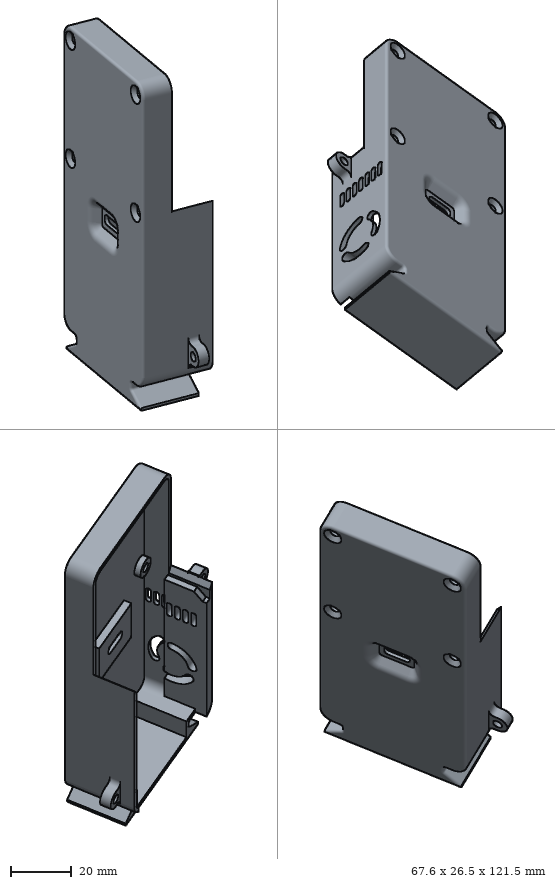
import cadquery as cq
import math

body_width = 54.0
height = 121.5
full_depth = 26.5
upper_depth = 11.1
step_z = 72.6
wall = 1.6
front_thickness = 2.0
corner_radius = 5.0
front_edge_radius = 1.0
half_width = body_width / 2

body_bottom_z = 8.0
foot_depth = 22.2
neck_half_width = 18.6
foot_half_width = 25.2
foot_edge_height = 1.1
foot_slope = math.radians(31)
neck_radius = 1.0
neck_slope_top_z = foot_edge_height + (foot_half_width - neck_half_width) * math.tan(foot_slope)

gap_left_x = -23.1
gap_right_x = 23.8

bevel_width = 2.3
bevel_height = 3.5

pad_start_y = 10.7
pad_top_z = step_z - bevel_height
shoulder_start_y = 21.8
shoulder_end_y = 25.0
shoulder_z = pad_top_z - (shoulder_end_y - shoulder_start_y)

ear_radius = 3.6
ear_hole_diameter = 3.3
ear_overhang = 3.2
ear_start_y = 17.3
ear_thickness = 4.0
ear_fillet = 2.0
left_ear_z = 68.2
right_ear_z = 18.1

screw_hole_diameter = 3.3
countersink_diameter = 6.5
screw_boss_diameter = 7.3
screw_boss_depth = 4.3
screw_x = half_width - corner_radius
screw_rows_z = (height - corner_radius, 72.6)

recess_z = 57.4
recess_floor_width = 12.9
recess_floor_height = 7.5
recess_floor_radius = 1.1
recess_depth = 3.3
recess_taper = 43.0
recess_mouth_radius = 2.9
recess_back_wall = 1.5
connector_width = 9.5
connector_height = 3.5
connector_radius = 1.5

vent_count = 7
vent_pitch = 3.0
vent_width = 2.0
vent_length = 6.5
vent_center_y = 12.5
vent_center_z = 54.7
wall_slot_depth = half_width + gap_left_x
fan_y = 13.1
fan_z = 28.5
fan_slot_radius = 8.1
fan_slot_width = 3.3
fan_slot_count = 3
fan_slot_sweep = 76.0
fan_slot_first_angle = 49.5


def box(x0, x1, y0, y1, z0, z1):
    return cq.Workplane("XY").box(x1 - x0, y1 - y0, z1 - z0, centered=False).translate((x0, y0, z0))


def extrude_back(sketch_start_y):
    """XZ workplane whose positive extrusion runs toward +Y; local axes are (X, -Z)."""
    return cq.Workplane(cq.Plane((0, sketch_start_y, 0), (1, 0, 0), (0, 1, 0)))


def make_outer():
    half = [
        (foot_half_width, 0),
        (foot_half_width, foot_edge_height),
        (neck_half_width, neck_slope_top_z),
        (neck_half_width, body_bottom_z),
        (half_width, body_bottom_z),
        (half_width, height),
    ]
    points = half + [(-x, z) for x, z in reversed(half)]
    solid = extrude_back(0).polyline([(x, -z) for x, z in points]).close().extrude(full_depth)
    body_box = cq.selectors.BoxSelector
    reach = half_width + 1.2
    for z0, z1, x_min, radius in (
        (neck_slope_top_z - 0.1, body_bottom_z + 0.1, 0, neck_radius),
        (body_bottom_z - 0.1, height + 1.2, half_width - 0.1, corner_radius),
    ):
        for side in (-1, 1):
            x_max = neck_half_width + 0.1 if x_min == 0 else reach
            corner = body_box((side * x_min, -1.2, z0), (side * x_max, full_depth + 1.2, z1))
            solid = solid.edges("|Y").edges(corner).fillet(radius)
    above_foot_edge = cq.selectors.BoxSelector((-reach, -1.2, foot_edge_height), (reach, 1.2, height + 1.2))
    solid = solid.faces("<Y").edges(above_foot_edge).fillet(front_edge_radius)
    bottom_waste = (
        cq.Workplane("YZ", origin=(-half_width, 0, 0))
        .lineTo(front_edge_radius, 0)
        .radiusArc((0, front_edge_radius), front_edge_radius)
        .close()
        .extrude(body_width)
    )
    return solid.cut(bottom_waste)


def make_cavity():
    main = box(
        -half_width + wall, half_width - wall, front_thickness, full_depth,
        body_bottom_z + wall, height - wall,
    ).edges("|Y").fillet(corner_radius - wall)
    neck_inner = neck_half_width - wall
    neck = box(-neck_inner, neck_inner, front_thickness, full_depth, wall, body_bottom_z + 2 * wall)
    return main.union(neck)


def make_wall_pad():
    profile = [
        (pad_start_y, body_bottom_z + wall / 2),
        (pad_start_y, pad_top_z),
        (shoulder_start_y, pad_top_z),
        (shoulder_end_y, shoulder_z),
        (full_depth, shoulder_z),
        (full_depth, body_bottom_z + wall / 2),
    ]
    start_x = -half_width + wall / 2
    return cq.Workplane("YZ", origin=(start_x, 0, 0)).polyline(profile).close().extrude(gap_left_x - start_x)


def make_bevel(side):
    inner_x = side * (half_width - bevel_width)
    return (
        extrude_back(upper_depth)
        .moveTo(side * half_width, -step_z)
        .lineTo(inner_x, bevel_height - step_z)
        .lineTo(inner_x, -step_z)
        .close()
        .extrude(full_depth - upper_depth)
    )


def make_ear(side, z):
    tip_x = half_width + ear_overhang
    ear = box(half_width, tip_x, ear_start_y, ear_start_y + ear_thickness, -ear_radius, ear_radius)
    ear = ear.union(extrude_back(ear_start_y).center(tip_x, 0).circle(ear_radius).extrude(ear_thickness))
    for edge in (-1, 1):
        web = (
            extrude_back(ear_start_y)
            .moveTo(half_width + ear_fillet, edge * ear_radius)
            .radiusArc((half_width, edge * (ear_radius + ear_fillet)), edge * ear_fillet)
            .lineTo(half_width, edge * ear_radius)
            .close()
            .extrude(ear_thickness)
        )
        ear = ear.union(web)
    ear = ear.cut(
        extrude_back(ear_start_y).center(tip_x, 0).circle(ear_hole_diameter / 2).extrude(ear_thickness)
    )
    if side < 0:
        ear = ear.mirror("YZ")
    return ear.translate((0, 0, z))


def make_recess():
    """Solid with tapered sides, widening from its floor toward the front."""
    return (
        cq.Workplane("XZ", origin=(0, recess_depth, recess_z))
        .sketch()
        .rect(recess_floor_width, recess_floor_height)
        .vertices()
        .fillet(recess_floor_radius)
        .finalize()
        .extrude(recess_depth, taper=-recess_taper)
    )


def make_screw_hole(x, z):
    hole_radius = screw_hole_diameter / 2
    sink_radius = countersink_diameter / 2
    hole = extrude_back(0).center(x, -z).circle(hole_radius).extrude(screw_boss_depth)
    sink = cq.Solid.makeCone(
        sink_radius, hole_radius, sink_radius - hole_radius, cq.Vector(x, 0, z), cq.Vector(0, 1, 0)
    )
    return hole.union(sink)


def make_fan_slot(mid_angle):
    def at(radius, angle):
        turn = math.radians(angle)
        return (fan_y + radius * math.cos(turn), fan_z + radius * math.sin(turn))

    start = mid_angle - fan_slot_sweep / 2
    end = mid_angle + fan_slot_sweep / 2
    inner = fan_slot_radius - fan_slot_width / 2
    outer = fan_slot_radius + fan_slot_width / 2
    cap = math.degrees(fan_slot_width / 2 / fan_slot_radius)
    return (
        cq.Workplane("YZ", origin=(-half_width, 0, 0))
        .moveTo(*at(outer, start))
        .threePointArc(at(outer, mid_angle), at(outer, end))
        .threePointArc(at(fan_slot_radius, end + cap), at(inner, end))
        .threePointArc(at(inner, mid_angle), at(inner, start))
        .threePointArc(at(fan_slot_radius, start - cap), at(outer, start))
        .close()
        .extrude(wall_slot_depth)
    )


outer = make_outer()
result = outer.cut(make_cavity()).union(make_wall_pad().intersect(outer))
result = result.cut(box(-half_width, half_width, upper_depth, full_depth, step_z, height))
result = result.cut(box(-half_width, half_width, foot_depth, full_depth, 0, body_bottom_z - corner_radius / 2))
result = result.cut(box(gap_left_x, gap_right_x, foot_depth, full_depth, 0, body_bottom_z + corner_radius))

for side in (-1, 1):
    result = result.cut(make_bevel(side))

left_ear = make_ear(-1, left_ear_z)
left_ear = left_ear.cut(box(-height, 0, 0, full_depth, step_z, height))
result = result.union(left_ear).union(make_ear(1, right_ear_z))

recess_boss_back_y = recess_depth + recess_back_wall
recess_boss_half_width = recess_floor_width / 2 + recess_boss_back_y
recess_boss_half_height = recess_floor_height / 2 + recess_boss_back_y
recess_boss = box(
    -recess_boss_half_width, recess_boss_half_width, front_thickness / 2, recess_boss_back_y,
    recess_z - recess_boss_half_height, recess_z + recess_boss_half_height,
)
result = result.union(recess_boss).cut(make_recess())
mouth = cq.selectors.BoxSelector((-half_width / 2, -0.1, recess_z - 9.7), (half_width / 2, 0.1, recess_z + 9.7))
result = result.edges(mouth).fillet(recess_mouth_radius)
result = result.cut(
    box(
        -connector_width / 2, connector_width / 2, 0, recess_boss_back_y,
        recess_z - connector_height / 2, recess_z + connector_height / 2,
    ).edges("|Y").fillet(connector_radius)
)

for x in (-screw_x, screw_x):
    for z in screw_rows_z:
        boss_start_y = front_thickness / 2
        boss = extrude_back(boss_start_y).center(x, -z).circle(screw_boss_diameter / 2)
        result = result.union(boss.extrude(screw_boss_depth - boss_start_y))
        result = result.cut(make_screw_hole(x, z))

vents = (
    cq.Workplane("YZ", origin=(-half_width, vent_center_y, vent_center_z))
    .rarray(vent_pitch, 1.2, vent_count, 1)
    .slot2D(vent_length, vent_width, 90)
    .extrude(wall_slot_depth)
)
result = result.cut(vents)
for index in range(fan_slot_count):
    result = result.cut(make_fan_slot(fan_slot_first_angle + index * 360 / fan_slot_count))